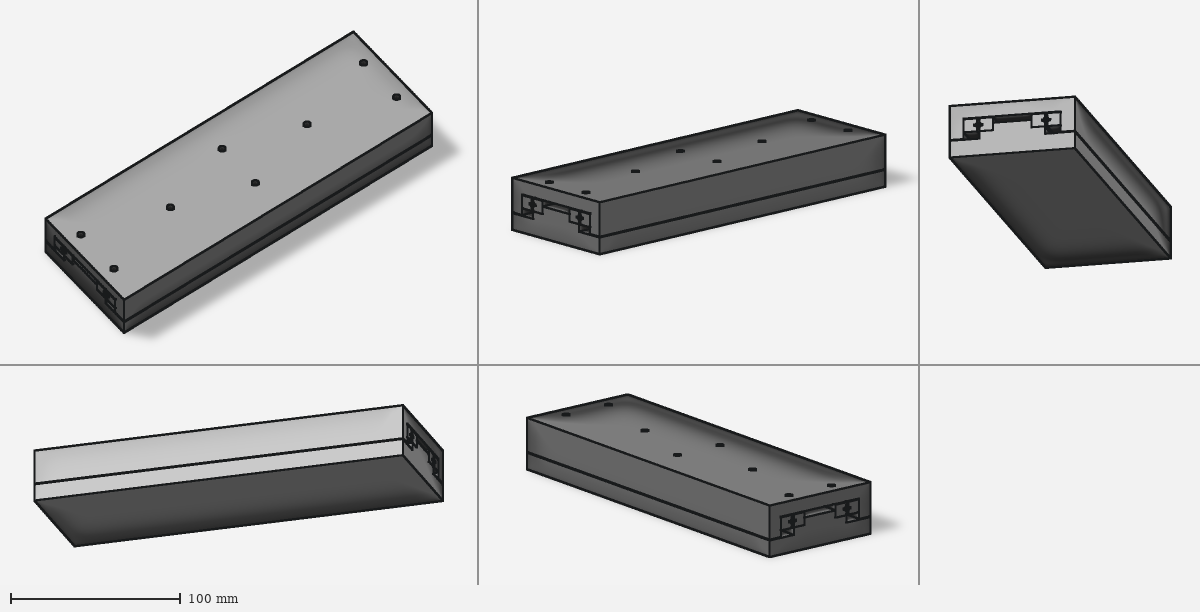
import cadquery as cq

length = 228.6
width = 76.1
height = 31.8

flange_top = 10.3
carriage_gap = 0.5
rail_seat = 14.9
pad_top = 19.5

rail_width = 8.2
rail_height = 8.0
rail_gap = 1.4
roof_gap = 0.5
vee_depth = 1.1
vee_half_mouth = 1.4
relief_depth = 0.7
relief_width = 0.7

channel_half = 29.5
outer_rail_face = channel_half - rail_width
inner_rail_face = outer_rail_face - rail_gap
pad_half = inner_rail_face - rail_width

channel_roof = rail_seat + rail_height + roof_gap

hole_diameter = 4.1
hole_half_pitch_x = 16.0
end_hole_y = 105.0
axis_hole_y = 50.8


def extrude_along_y(points):
    """Prism of an XZ outline, centred on Y = 0."""
    return cq.Workplane("XZ").polyline(points).close().extrude(length / 2, both=True)


def mirrored(right_half):
    """Close a right-half outline with its reflection in X = 0."""
    return right_half + [(-x, z) for x, z in reversed(right_half)]


def make_base():
    """Flat base with a stepped centre that carries the inner rails."""
    return extrude_along_y(mirrored([
        (width / 2, 0),
        (width / 2, flange_top),
        (inner_rail_face, flange_top),
        (inner_rail_face, rail_seat),
        (pad_half, rail_seat),
        (pad_half, pad_top),
    ]))


def make_carriage():
    """Channel-shaped carriage with mounting holes through its roof."""
    skirt_bottom = flange_top + carriage_gap
    body = extrude_along_y(mirrored([
        (channel_half, channel_roof),
        (channel_half, skirt_bottom),
        (width / 2, skirt_bottom),
        (width / 2, height),
    ]))
    hole_places = [(0, -axis_hole_y), (0, axis_hole_y)]
    for x in (-hole_half_pitch_x, hole_half_pitch_x):
        for y in (-end_hole_y, 0, end_hole_y):
            hole_places.append((x, y))
    holes = (
        cq.Workplane("XY", origin=(0, 0, channel_roof))
        .pushPoints(hole_places)
        .circle(hole_diameter / 2)
        .extrude(height - channel_roof)
    )
    return body.cut(holes)


def make_rail(face_x, bottom_z, back):
    """Rail with its grooved face at face_x; back (+1 or -1) is the X direction of its body."""
    middle_z = bottom_z + rail_height / 2
    top_z = bottom_z + rail_height
    back_x = face_x + back * rail_width
    slot_mouth_x = face_x + back * vee_depth * (1 - relief_width / 2 / vee_half_mouth)
    slot_end_x = face_x + back * (vee_depth + relief_depth)
    return extrude_along_y([
        (back_x, bottom_z),
        (face_x, bottom_z),
        (face_x, middle_z - vee_half_mouth),
        (slot_mouth_x, middle_z - relief_width / 2),
        (slot_end_x, middle_z - relief_width / 2),
        (slot_end_x, middle_z + relief_width / 2),
        (slot_mouth_x, middle_z + relief_width / 2),
        (face_x, middle_z + vee_half_mouth),
        (face_x, top_z),
        (back_x, top_z),
    ])


base = make_base()
carriage = make_carriage()

rails = []
for side in (-1, 1):
    rails.append(make_rail(side * inner_rail_face, rail_seat, -side))
    rails.append(make_rail(side * outer_rail_face, rail_seat, side))

result = cq.Compound.makeCompound([base.val(), carriage.val(), *[rail.val() for rail in rails]])